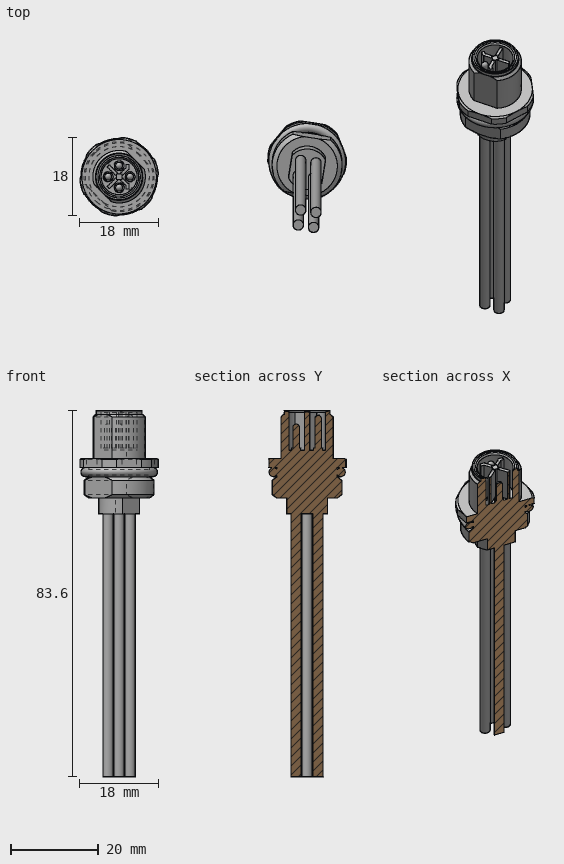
import cadquery as cq
import math


WIRE_LENGTH = 60.0
COLLAR_TOP = 3.6
NUT_TOP = 8.5
FLANGE_BOTTOM = 10.6
FLANGE_TOP = 12.7
SLEEVE_TOP = 22.75
RIM_TOP = 23.6

COLLAR_RADIUS = 4.7
COLLAR_FLAT = 3.85
COLLAR_FLAT_ANGLES = (135, -45)

NUT_RADIUS = 8.0
NUT_FLAT = 6.7
NUT_FLAT_ANGLES = (45, -135)
NUT_CHAMFER_HEIGHT = 0.8
NUT_CHAMFER_WIDTH = 1.1

NECK_RADIUS = 6.9
SEAL_SECTION_RADIUS = 1.05
SEAL_CENTRE_RADIUS = 7.72

FLANGE_RADIUS = 9.0
FLANGE_ACROSS_FLATS = 17.0
FLANGE_FLAT_ANGLE = -15
FLANGE_SIDES = 6
FLANGE_CHAMFER_HEIGHT = 0.25

SLEEVE_RADIUS = 6.0
SLEEVE_FLAT = 5.25
SLEEVE_FLAT_ANGLES = (45, -135)
SLEEVE_CHAMFER = 0.6
RIM_RADIUS = SLEEVE_FLAT

SOCKET_RADIUS = 4.1
SOCKET_DEPTH = 9.0
LEAD_IN_RADIUS = 4.45
INSERT_RADIUS = 4.85
INSERT_DROP = 0.1

SHIELD_DROP = 0.4
SHIELD_THICKNESS = 0.7
SHIELD_REACH = 3.5
SHIELD_POST_WIDTH = 1.3
SHIELD_POST_RISE = 0.1
SHIELD_TAB_CENTRE = 1.95
SHIELD_TAB_END = 2.8

PATTERN_RADIUS = 2.5
PATTERN_ANGLES = (0, 90, 180, 270)
LONG_PIN_ANGLE = 0
PIN_RADIUS = 0.8
PIN_LENGTH = 6.0
LONG_PIN_LENGTH = 8.0
PIN_BASE_RADIUS = 1.1
PIN_BASE_HEIGHT = 0.5
WIRE_RADIUS = 1.2

SOCKET_FLOOR = RIM_TOP - SOCKET_DEPTH


def cylinder(radius, bottom, top):
    return cq.Workplane("XY").workplane(offset=bottom).circle(radius).extrude(top - bottom)


def turn(item, angle):
    """Turn an item about the Z axis."""
    return item.rotate((0, 0, 0), (0, 0, 1), angle)


def cut_flats(body, distance, angles, bottom, top):
    """Trim a body so that a flat stands at the given distance in each direction."""
    size = 2 * FLANGE_RADIUS
    for angle in angles:
        waste = cq.Workplane("XY").box(size, size, top - bottom, centered=(False, True, False))
        body = body.cut(turn(waste.translate((distance, 0, bottom)), angle))
    return body


def revolve_profile(points):
    """Turn a closed (radius, height) outline about the Z axis."""
    return cq.Workplane("XZ").polyline(points).close().revolve(360, (0, 0, 0), (0, 1, 0))


def make_collar():
    collar = cylinder(COLLAR_RADIUS, 0, COLLAR_TOP)
    return cut_flats(collar, COLLAR_FLAT, COLLAR_FLAT_ANGLES, 0, COLLAR_TOP)


def make_nut():
    end_radius = NUT_RADIUS - NUT_CHAMFER_WIDTH
    nut = revolve_profile([
        (0, COLLAR_TOP),
        (end_radius, COLLAR_TOP),
        (NUT_RADIUS, COLLAR_TOP + NUT_CHAMFER_HEIGHT),
        (NUT_RADIUS, NUT_TOP - NUT_CHAMFER_HEIGHT),
        (end_radius, NUT_TOP),
        (0, NUT_TOP),
    ])
    return cut_flats(nut, NUT_FLAT, NUT_FLAT_ANGLES, COLLAR_TOP, NUT_TOP)


def make_seal():
    neck = cylinder(NECK_RADIUS, NUT_TOP, FLANGE_BOTTOM)
    ring_height = (NUT_TOP + FLANGE_BOTTOM) / 2
    ring = (
        cq.Workplane("XZ")
        .center(SEAL_CENTRE_RADIUS, ring_height)
        .circle(SEAL_SECTION_RADIUS)
        .revolve(360, (-SEAL_CENTRE_RADIUS, 0, 0), (-SEAL_CENTRE_RADIUS, 1, 0))
    )
    return neck.union(ring)


def make_flange():
    half_width = FLANGE_ACROSS_FLATS / 2
    flange = revolve_profile([
        (0, FLANGE_BOTTOM),
        (FLANGE_RADIUS, FLANGE_BOTTOM),
        (FLANGE_RADIUS, FLANGE_TOP - FLANGE_CHAMFER_HEIGHT),
        (half_width, FLANGE_TOP),
        (0, FLANGE_TOP),
    ])
    flat_angles = [FLANGE_FLAT_ANGLE + 360 / FLANGE_SIDES * side for side in range(FLANGE_SIDES)]
    return cut_flats(flange, half_width, flat_angles, FLANGE_BOTTOM, FLANGE_TOP)


def make_sleeve():
    sleeve = cylinder(SLEEVE_RADIUS, FLANGE_TOP, SLEEVE_TOP).faces(">Z").chamfer(SLEEVE_CHAMFER)
    sleeve = cut_flats(sleeve, SLEEVE_FLAT, SLEEVE_FLAT_ANGLES, FLANGE_TOP, SLEEVE_TOP)
    return sleeve.union(cylinder(RIM_RADIUS, SLEEVE_TOP, RIM_TOP))


def make_socket():
    """The hollow of the socket, with a 45 degree lead-in and a step at the mouth."""
    insert_top = RIM_TOP - INSERT_DROP
    lead_in_depth = LEAD_IN_RADIUS - SOCKET_RADIUS
    return revolve_profile([
        (0, SOCKET_FLOOR),
        (SOCKET_RADIUS, SOCKET_FLOOR),
        (SOCKET_RADIUS, insert_top - lead_in_depth),
        (LEAD_IN_RADIUS, insert_top),
        (INSERT_RADIUS, insert_top),
        (INSERT_RADIUS, RIM_TOP),
        (0, RIM_TOP),
    ])


def make_shield():
    """A square post with two straight arms towards -X and two bent arms towards +X."""
    height = RIM_TOP - SHIELD_DROP - SOCKET_FLOOR
    floor = cq.Workplane("XY").workplane(offset=SOCKET_FLOOR)
    shield = floor.rect(SHIELD_POST_WIDTH, SHIELD_POST_WIDTH).extrude(height + SHIELD_POST_RISE)

    bent_reach = SHIELD_TAB_CENTRE * math.sqrt(2)
    arm_reaches = {45: bent_reach, 135: SHIELD_REACH, 225: SHIELD_REACH, 315: bent_reach}
    for angle, reach in arm_reaches.items():
        arm = floor.center(reach / 2, 0).rect(reach, SHIELD_THICKNESS).extrude(height)
        shield = shield.union(turn(arm, angle))

    tab_start = SHIELD_TAB_CENTRE - SHIELD_THICKNESS / 2
    tab_length = SHIELD_TAB_END - tab_start
    for side in (1, -1):
        tab_middle = side * (tab_start + tab_length / 2)
        tab = floor.center(SHIELD_TAB_CENTRE, tab_middle).rect(SHIELD_THICKNESS, tab_length)
        shield = shield.union(tab.extrude(height))
    return shield


def make_pin(length):
    """A round pin with a ball tip, standing on a low collar."""
    tip = SOCKET_FLOOR + length
    shoulder = tip - PIN_RADIUS
    base = cylinder(PIN_BASE_RADIUS, SOCKET_FLOOR, SOCKET_FLOOR + PIN_BASE_HEIGHT)
    ball = cq.Workplane("XY").sphere(PIN_RADIUS).translate((0, 0, shoulder))
    return base.union(cylinder(PIN_RADIUS, SOCKET_FLOOR, shoulder)).union(ball)


def at_pattern(item, angle):
    """Move an item from the axis to one place of the square pattern."""
    return turn(item.translate((PATTERN_RADIUS, 0, 0)), angle)


result = make_collar()
for section in (make_nut(), make_seal(), make_flange(), make_sleeve()):
    result = result.union(section)
result = result.cut(make_socket()).union(make_shield())

wire = cylinder(WIRE_RADIUS, -WIRE_LENGTH, 0)
for angle in PATTERN_ANGLES:
    pin_length = LONG_PIN_LENGTH if angle == LONG_PIN_ANGLE else PIN_LENGTH
    result = result.union(at_pattern(make_pin(pin_length), angle))
    result = result.union(at_pattern(wire, angle))